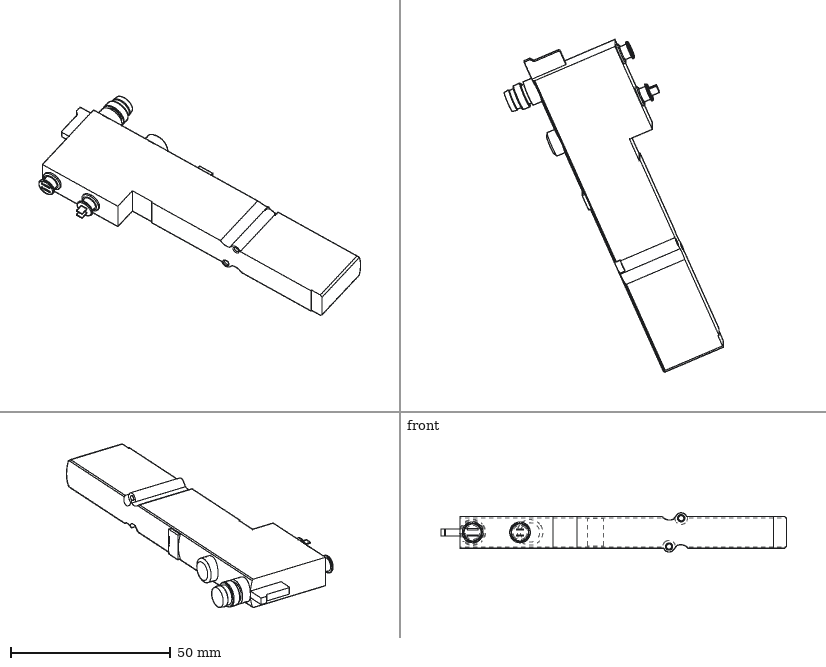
import cadquery as cq
import math


length = 108.5
half_thickness = 5.0
head_left = 6.0
head_right = 35.2
head_front = -28.5
pad_left = 42.7
pad_right = 104.4
pad_front = -21.0
web_front = -20.7
end_chamfer = 0.7

crown_half_width = 4.6
crown_foot_y = -0.8
crown_edge_y = -1.1

tail_thickness = 2.3
tail_front = -11.7
tail_corner_chamfer = 0.3
tail_neck_x = 1.1
tail_hook_y = -2.1
tail_hook_end_y = -2.9

boss_x = 75.4
bottom_boss_x = 71.6
half_turn_x = (boss_x + bottom_boss_x) / 2
groove_x = 71.7
boss_radius = 1.7
boss_z = 6.2 - boss_radius
boss_back = -2.4
groove_radius = 2.9
groove_depth = 1.1
flank_foot_x = groove_x + 1.3
outer_flank_angle = 30
screw_hole_diameter = 1.6
screw_hole_mouth_diameter = 2.3
screw_head_diameter = 3.9

connector_x = 10.0
cap_x = 28.0
fitting_root_y = -1.6
label_left = 46.0
label_width = 5.1
label_half_height = 4.3
label_back = 0.27

socket_x = connector_x
blade_plug_x = 24.8
plug_front = head_front - 3.8
plug_edge_chamfer = 0.3
contact_z = 1.0
blade_width = 2.3
blade_thickness = 0.3
blade_tip = -34.9
slot_width = 3.3
slot_thickness = 0.4
slot_depth = 0.5


def box(x_min, x_max, y_min, y_max, z_min, z_max):
    size = (x_max - x_min, y_max - y_min, z_max - z_min)
    return cq.Workplane("XY").box(*size, centered=False).translate((x_min, y_min, z_min))


def along_y(sketch, y_min, y_max):
    """Extrude an outline drawn in X and Z between two Y positions."""
    return sketch.extrude(y_max - y_min).translate((0, y_max, 0))


def rod(x, z, diameter, y_min, y_max):
    return along_y(cq.Workplane("XZ").center(x, z).circle(diameter / 2), y_min, y_max)


def turned(x, profile):
    """Revolve (diameter, Y) points about a Y-direction axis at the given X."""
    points = [(diameter / 2, y) for diameter, y in profile]
    return cq.Workplane("XY").polyline(points).close().revolve(360, (0, 0), (0, 1)).translate((x, 0, 0))


def swap_side(solid):
    """Half turn that carries the top boss and groove to the bottom side."""
    return solid.rotate((half_turn_x, 0, 0), (half_turn_x, 1, 0), 180)


def housing():
    plan = [
        (head_left, 0),
        (head_left, head_front),
        (head_right, head_front),
        (head_right, web_front),
        (pad_left, web_front),
        (pad_left, pad_front),
        (pad_right, pad_front),
        (pad_right, web_front),
        (length, web_front),
        (length, 0),
    ]
    block = cq.Workplane("XY").polyline(plan).close().extrude(2 * half_thickness)
    block = block.translate((0, 0, -half_thickness))
    block = block.faces(">X").edges("|Y").chamfer(end_chamfer)

    crown = (
        cq.Workplane("YZ")
        .moveTo(head_front, -half_thickness)
        .lineTo(crown_edge_y, -half_thickness)
        .lineTo(crown_foot_y, -crown_half_width)
        .threePointArc((0, 0), (crown_foot_y, crown_half_width))
        .lineTo(crown_edge_y, half_thickness)
        .lineTo(head_front, half_thickness)
        .close()
        .extrude(length)
    )
    return block.intersect(crown)


def tail():
    plan = [
        (head_left, 0),
        (0, 0),
        (0, tail_hook_y),
        (tail_neck_x, tail_hook_end_y),
        (tail_neck_x, tail_front + tail_corner_chamfer),
        (tail_neck_x + tail_corner_chamfer, tail_front),
        (head_left, tail_front),
    ]
    plate = cq.Workplane("XY").polyline(plan).close().extrude(tail_thickness)
    return plate.translate((0, 0, -tail_thickness / 2))


groove_bottom_z = half_thickness - groove_depth
groove_center_z = groove_bottom_z + groove_radius
groove_edge_x = groove_x - math.sqrt(groove_radius**2 - (groove_center_z - half_thickness) ** 2)

flank_foot_z = groove_center_z - math.sqrt(groove_radius**2 - (flank_foot_x - groove_x) ** 2)
foot_to_boss = math.hypot(boss_x - flank_foot_x, boss_z - flank_foot_z)
boss_direction = math.atan2(boss_z - flank_foot_z, boss_x - flank_foot_x)
flank_angle = boss_direction + math.asin(boss_radius / foot_to_boss)
flank_top_x = boss_x - boss_radius * math.sin(flank_angle)
flank_top_z = boss_z + boss_radius * math.cos(flank_angle)

outer_tilt = math.radians(outer_flank_angle)
outer_top_x = boss_x + boss_radius * math.cos(outer_tilt)
outer_top_z = boss_z + boss_radius * math.sin(outer_tilt)
outer_foot_x = outer_top_x + (outer_top_z - half_thickness) * math.tan(outer_tilt)


def groove():
    outline = (
        cq.Workplane("XZ")
        .moveTo(groove_edge_x, half_thickness)
        .threePointArc((groove_x, groove_bottom_z), (flank_foot_x, flank_foot_z))
        .lineTo(flank_top_x, flank_top_z)
        .lineTo(groove_edge_x, flank_top_z)
        .close()
    )
    return along_y(outline, head_front, 0)


def boss():
    outline = (
        cq.Workplane("XZ")
        .moveTo(flank_foot_x, flank_foot_z)
        .lineTo(flank_top_x, flank_top_z)
        .threePointArc((boss_x, boss_z + boss_radius), (outer_top_x, outer_top_z))
        .lineTo(outer_foot_x, half_thickness)
        .lineTo(outer_foot_x, flank_foot_z)
        .close()
    )
    return along_y(outline, pad_front, boss_back)


def screw_hole():
    mouth_depth = (screw_hole_mouth_diameter - screw_hole_diameter) / 2
    mouth = (
        cq.Workplane("XZ", origin=(boss_x, pad_front, boss_z))
        .circle(screw_hole_mouth_diameter / 2)
        .workplane(offset=-mouth_depth)
        .circle(screw_hole_diameter / 2)
        .loft()
    )
    shank = rod(boss_x, boss_z, screw_hole_diameter, pad_front, 0)
    head = rod(boss_x, boss_z, screw_head_diameter, boss_back, 0)
    return shank.union(mouth).union(head)


def connector():
    return turned(connector_x, [
        (0, fitting_root_y),
        (8.0, fitting_root_y),
        (8.0, 2.9),
        (6.5, 2.9),
        (6.5, 3.9),
        (7.8, 3.9),
        (8.1, 4.1),
        (8.1, 6.2),
        (7.8, 6.5),
        (6.5, 6.5),
        (6.5, 7.9),
        (6.9, 8.1),
        (6.9, 8.5),
        (6.5, 9.8),
        (0, 9.8),
    ])


def cap():
    return turned(cap_x, [
        (0, fitting_root_y),
        (8.0, fitting_root_y),
        (8.0, 2.6),
        (6.1, 3.3),
        (0, 3.3),
    ])


def plug(x):
    flange_diameter = 6.5
    step_diameter = 5.3
    neck_diameter = 4.5
    head_diameter = 5.8
    flange_front = head_front - 0.5
    step_front = head_front - 0.9
    collar_back = head_front - 3.1
    return turned(x, [
        (0, head_front),
        (flange_diameter, head_front),
        (flange_diameter, flange_front),
        (step_diameter, step_front),
        (neck_diameter, step_front),
        (neck_diameter, collar_back),
        (head_diameter, collar_back),
        (head_diameter, plug_front + plug_edge_chamfer),
        (step_diameter, plug_front),
        (0, plug_front),
    ])


def contact(x, z, width, thickness, y_min, y_max):
    return box(x - width / 2, x + width / 2, y_min, y_max, z - thickness / 2, z + thickness / 2)


result = housing().union(tail())

for cutter in (groove(), swap_side(groove())):
    result = result.cut(cutter)
for barrel in (boss(), swap_side(boss())):
    result = result.union(barrel)
for cutter in (screw_hole(), swap_side(screw_hole())):
    result = result.cut(cutter)

label = box(
    label_left, label_left + label_width,
    fitting_root_y, label_back,
    -label_half_height, label_half_height,
)
result = result.union(connector()).union(cap()).union(label)

result = result.union(plug(socket_x)).union(plug(blade_plug_x))
for z in (-contact_z, contact_z):
    slot = contact(socket_x, z, slot_width, slot_thickness, plug_front, plug_front + slot_depth)
    blade = contact(blade_plug_x, z, blade_width, blade_thickness, blade_tip, plug_front)
    result = result.cut(slot).union(blade)